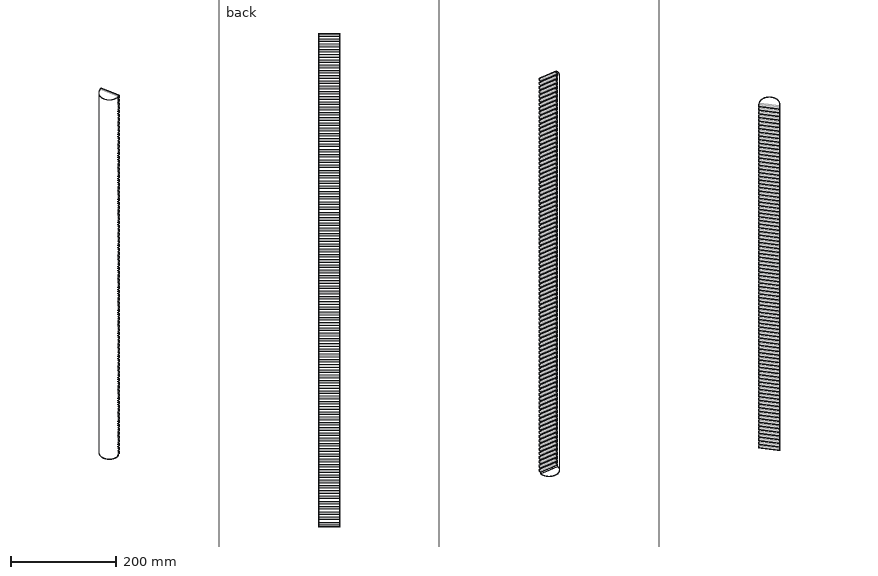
import math

import cadquery as cq

BAR_LENGTH = 938.93
BAR_RADIUS = 20.0

TOTAL_DEPTH = 25.0
TOOTH_PITCH = 10.0
TOOTH_COUNT = 94
TOOTH_ROOT_THICKNESS = 5.14
TOOTH_TIP_RADIUS = 2.0
FLANK_DRAFT_ANGLE = 2.0

TOOTH_WIDTH = 2 * BAR_RADIUS
TOOTH_HEIGHT = TOTAL_DEPTH - BAR_RADIUS
FLANK_SETBACK = TOOTH_HEIGHT * math.tan(math.radians(FLANK_DRAFT_ANGLE))


def half_round_bar():
    """Bar of half-round section, its round side towards -Y."""
    return (
        cq.Workplane("XY")
        .moveTo(-BAR_RADIUS, 0)
        .threePointArc((0, -BAR_RADIUS), (BAR_RADIUS, 0))
        .close()
        .extrude(BAR_LENGTH)
        .val()
    )


def top_tooth():
    """Drafted tooth with rounded tip corners, its root flush with the top end of the bar."""
    root_top = BAR_LENGTH
    root_bottom = root_top - TOOTH_ROOT_THICKNESS
    return (
        cq.Workplane("YZ")
        .moveTo(0, root_top)
        .lineTo(TOOTH_HEIGHT, root_top - FLANK_SETBACK)
        .lineTo(TOOTH_HEIGHT, root_bottom + FLANK_SETBACK)
        .lineTo(0, root_bottom)
        .close()
        .extrude(TOOTH_WIDTH / 2, both=True)
        .faces(">Y")
        .edges("|X")
        .fillet(TOOTH_TIP_RADIUS)
        .val()
    )


def rack_teeth():
    """Row of equal teeth, stepping down one pitch at a time from the top end."""
    first_tooth = top_tooth()
    return [
        first_tooth.translate(cq.Vector(0, 0, -index * TOOTH_PITCH))
        for index in range(TOOTH_COUNT)
    ]


rack = half_round_bar().fuse(*rack_teeth())
result = cq.Workplane("XY").newObject(rack.Solids())